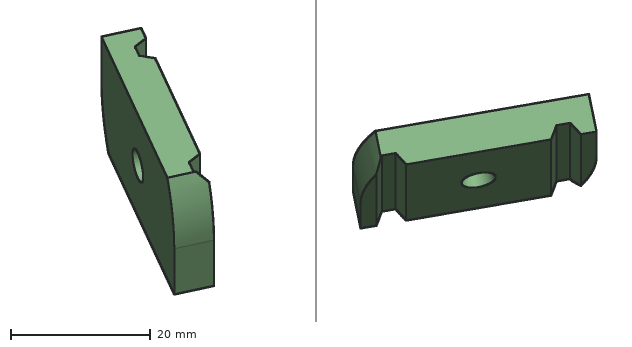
import cadquery as cq
import math

length = 34.5
thickness = 6.0
height = 20.0
end_radius = 20.0
tangent_drop = 1.0
bore_diameter = 5.0

groove_spacing = 25.53
groove_depth = 2.05
groove_floor_width = 2.0
groove_flank_angle = 30.0

half_length = length / 2
half_height = height / 2
arc_center_x = half_length - end_radius
arc_angle = math.asin((half_height + tangent_drop) / end_radius)
corner_x = arc_center_x + end_radius * math.cos(arc_angle)
arc_mid_x = arc_center_x + end_radius * math.cos(arc_angle / 2)
arc_mid_z = end_radius * math.sin(arc_angle / 2) - tangent_drop
back_y = thickness / 2


def make_plate():
    """Plate with a straight wall and a tangent arc at each end."""
    return (
        cq.Workplane("XZ")
        .moveTo(-half_length, half_height)
        .lineTo(corner_x, half_height)
        .threePointArc((arc_mid_x, arc_mid_z), (half_length, -tangent_drop))
        .lineTo(half_length, -half_height)
        .lineTo(-corner_x, -half_height)
        .threePointArc((-arc_mid_x, -arc_mid_z), (-half_length, tangent_drop))
        .close()
        .extrude(back_y, both=True)
    )


def make_groove(center_x):
    """Trapezoidal groove cutter, open at the back face."""
    half_floor = groove_floor_width / 2
    half_mouth = half_floor + groove_depth * math.tan(math.radians(groove_flank_angle))
    floor_y = back_y - groove_depth
    return (
        cq.Workplane("XY")
        .polyline([
            (center_x - half_mouth, back_y),
            (center_x - half_floor, floor_y),
            (center_x + half_floor, floor_y),
            (center_x + half_mouth, back_y),
        ])
        .close()
        .extrude(half_height, both=True)
    )


def make_bore():
    """Through bore along Y at the plate centre."""
    return cq.Workplane("XZ").circle(bore_diameter / 2).extrude(back_y, both=True)


result = make_plate().cut(make_bore())
for side in (-1, 1):
    result = result.cut(make_groove(side * groove_spacing / 2))